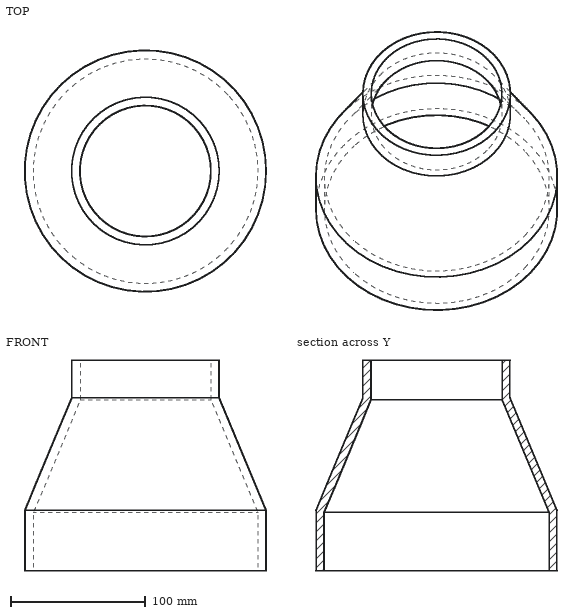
import cadquery as cq
import math

large_radius = 180.0 / 2
small_radius = 110.0 / 2
wall = 6.3

total_height = 157.0
large_end_length = 45.0
small_end_length = 28.0
cone_bottom = large_end_length
cone_top = total_height - small_end_length

cone_angle = math.atan((large_radius - small_radius) / (cone_top - cone_bottom))
inner_drop = wall * math.tan(cone_angle / 2)


def reducer_body(inset, drop):
    """Solid of revolution with radii reduced by inset and cone lowered by drop."""
    return (
        cq.Workplane("XZ")
        .moveTo(0, 0)
        .lineTo(large_radius - inset, 0)
        .lineTo(large_radius - inset, cone_bottom - drop)
        .lineTo(small_radius - inset, cone_top - drop)
        .lineTo(small_radius - inset, total_height)
        .lineTo(0, total_height)
        .close()
        .revolve(360, (0, 0, 0), (0, 1, 0))
    )


outer = reducer_body(0, 0)
bore = reducer_body(wall, inner_drop)

result = outer.cut(bore)